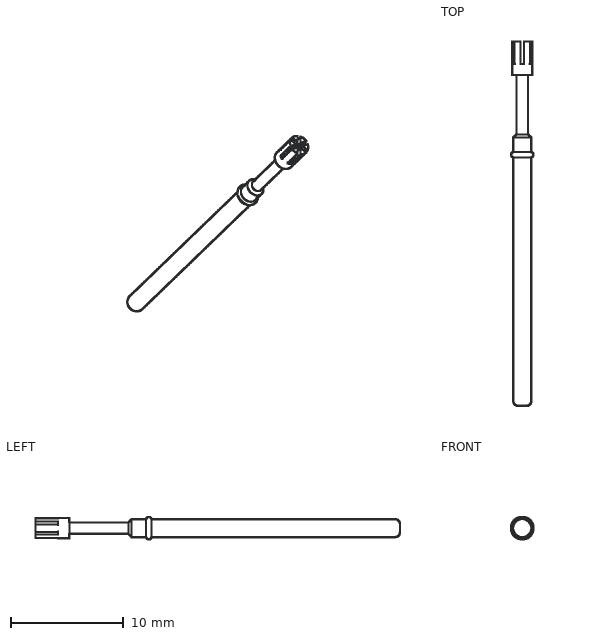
import cadquery as cq

LENGTH = 32.3

BARREL_RADIUS = 0.8
TAIL_FILLET = 0.45
SHOULDER_LENGTH = 0.3
BARREL_END = LENGTH - 8.25

COLLAR_RADIUS = 1.0
COLLAR_WIDTH = 0.5
COLLAR_CENTER = LENGTH - 10.05

SHAFT_RADIUS = 0.52

HEAD_RADIUS = 0.9
HEAD_LENGTH = 3.0
SLOT_WIDTH = 0.3
SLOT_DEPTH = 2.0
SLOT_COUNT = 3
SLOT_PITCH = 180.0 / SLOT_COUNT


def turned_body():
    """Barrel, collar, shaft and plain head, revolved from one half outline in XY."""
    head_start = LENGTH - HEAD_LENGTH
    half_collar = COLLAR_WIDTH / 2
    outline = (
        cq.Workplane("XY")
        .lineTo(BARREL_RADIUS - TAIL_FILLET, 0)
        .radiusArc((BARREL_RADIUS, TAIL_FILLET), -TAIL_FILLET)
        .lineTo(BARREL_RADIUS, COLLAR_CENTER - half_collar)
        .threePointArc(
            (COLLAR_RADIUS, COLLAR_CENTER),
            (BARREL_RADIUS, COLLAR_CENTER + half_collar),
        )
        .lineTo(BARREL_RADIUS, BARREL_END - SHOULDER_LENGTH)
        .lineTo(SHAFT_RADIUS, BARREL_END)
        .lineTo(SHAFT_RADIUS, head_start)
        .lineTo(HEAD_RADIUS, head_start)
        .lineTo(HEAD_RADIUS, LENGTH)
        .lineTo(0, LENGTH)
        .close()
    )
    return outline.revolve(360, (0, 0, 0), (0, 1, 0))


def head_slot(angle):
    """Slot across the full head, turned about the probe axis from the YZ plane."""
    slot = cq.Workplane("XY").box(SLOT_WIDTH, SLOT_DEPTH, 2 * COLLAR_RADIUS)
    slot = slot.translate((0, LENGTH - SLOT_DEPTH / 2, 0))
    return slot.rotate((0, 0, 0), (0, 1, 0), angle)


result = turned_body()
for index in range(SLOT_COUNT):
    result = result.cut(head_slot(index * SLOT_PITCH))